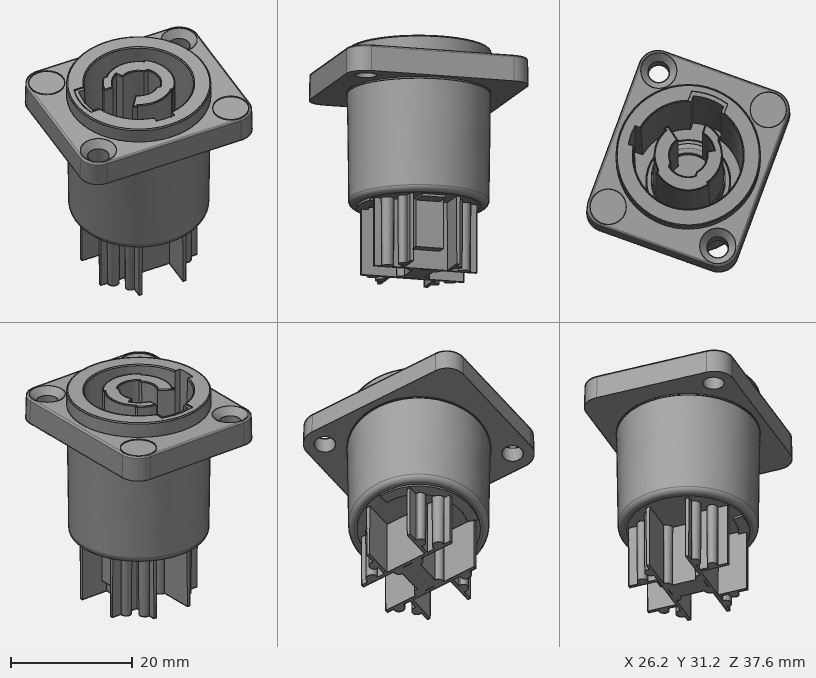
import cadquery as cq
import math

TOTAL_HEIGHT = 37.6
FLANGE_TOP = 34.95
FLANGE_BOTTOM = 30.55
BARREL_BOTTOM = 11.43

FLANGE_X = 26.17
FLANGE_Y = 31.2
FLANGE_CORNER = 3.27
FLANGE_DRAFT = 1.0
FLANGE_EDGE_FILLET = 0.3
SCREW_X = 9.6
SCREW_Y = 12.15
SCREW_RADIUS = 1.75
SINK_RADIUS = 2.97
BLIND_DEPTH = 0.15

COLLAR_RADIUS = 11.9
COLLAR_CHAMFER = 0.2
NECK_HEIGHT = 0.25
BARREL_TOP_RADIUS = 11.8
BARREL_END_RADIUS = 11.55
BARREL_FILLET = 0.98

SOCKET_FLOOR = 15.05
SOCKET_RIM_RADIUS = 9.02
SOCKET_FLOOR_RADIUS = 8.75
SOCKET_CHAMFER = 0.2
KEYWAY_RADIUS = 10.05
FRONT_KEYWAY_FLOOR_RADIUS = 9.85
SIDE_KEYWAY_WIDTH = 3.3
FRONT_KEYWAY_WIDTH = 5.25
KEYWAY_LEDGE_RADIUS = 10.75
KEYWAY_LEDGE_WIDTH = 6.3
KEYWAY_LEDGE_DEPTH = 0.23

BASE_RADIUS = 10.15
BASE_THICKNESS = 2.18
BOSS_RADIUS = 7.0
BOSS_RISE = 0.38
BOSS_CHAMFER = 0.2

POST_FOOT_RADIUS = 6.1
POST_TIP_RADIUS = 5.98
POST_CHAMFER = 0.15
CAVITY_MOUTH_RADIUS = 3.1
CAVITY_FLOOR_RADIUS = 2.95
CAVITY_FLOOR = 15.8
UPPER_LOBE_RADIUS = 3.6
UPPER_LOBE_WIDTH = 4.5
LOWER_LOBE_RADIUS = 4.35
LOWER_LOBE_ANGLES = (211.5, 324.0)
WINDOW_LEFT_X = -0.9
WINDOW_FLOOR = 17.3
WINDOW_ROUND = 0.95
RELIEF_TIP_RADIUS = 5.6
RELIEF_FOOT_RADIUS = 5.83
RELIEF_FLOOR = 18.8
RELIEF_ANGLES = ((145.0, 240.0), (-28.0, 48.0))
RELIEF_INNER_X = 3.87

LUG_HEIGHT = 0.4
RING_LUG_INNER_RADIUS = 8.27
RING_LUG_ANGLES = (-5.0, 110.0)
SIDE_LUG_X = (-9.1, -5.65)
SIDE_LUG_Y = (-1.73, 2.35)

WALL_REACH = 8.85
WALL_ROOT_THICKNESS = 0.68
WALL_TIP_THICKNESS = 0.53
LONG_WALL_X = 3.5
SHORT_WALL_Y = 4.02
CORE_HALF_Y = 1.8
PILLAR_DRAFT = 0.5
SHORT_PILLAR_X = 6.25
SHORT_PILLAR_RADIUS = 0.95
SHORT_PILLAR_STRAIGHT = 0.6
OUTER_PILLAR_Y = 6.6
LONG_PILLAR_RADIUS = 1.1
LONG_PILLAR_STRAIGHT = 0.4
BLOCK_X = 5.85
BLOCK_WIDTH = 4.75
BLOCK_BOTTOM = 3.15
ROOT_DEPTH = 0.75

BASE_TOP = BARREL_BOTTOM + BASE_THICKNESS
WALL_ROOT = BARREL_BOTTOM + ROOT_DEPTH
BOSS_TOP = SOCKET_FLOOR + BOSS_RISE
WALL_INNER_X = LONG_WALL_X - WALL_ROOT_THICKNESS / 2
SIDES = (-1, 1)


def disc(radius, bottom, top):
    """Upright cylinder on the main axis."""
    return cq.Workplane("XY").workplane(offset=bottom).circle(radius).extrude(top - bottom)


def cone(bottom_radius, top_radius, bottom, top):
    """Upright cone frustum on the main axis."""
    lower = cq.Workplane("XY").workplane(offset=bottom).circle(bottom_radius)
    return lower.workplane(offset=top - bottom).circle(top_radius).loft()


def block(x_range, y_range, z_range):
    """Box between the given limits."""
    sizes = [high - low for low, high in (x_range, y_range, z_range)]
    corner = (x_range[0], y_range[0], z_range[0])
    return cq.Workplane("XY").box(*sizes, centered=False).translate(corner)


def sector(radius, angles, bottom, top):
    """Pie slice about the main axis, between two angles in degrees."""
    start, end = [math.radians(angle) for angle in angles]
    points = [(radius * math.cos(a), radius * math.sin(a)) for a in (start, (start + end) / 2, end)]
    outline = cq.Workplane("XY").workplane(offset=bottom).lineTo(*points[0])
    return outline.threePointArc(points[1], points[2]).close().extrude(top - bottom)


def make_flange():
    """Drafted rectangular plate with two countersunk screw holes and two blind marks."""
    flange = (
        cq.Workplane("XY")
        .workplane(offset=FLANGE_BOTTOM)
        .rect(FLANGE_X, FLANGE_Y)
        .extrude(FLANGE_TOP - FLANGE_BOTTOM, taper=FLANGE_DRAFT)
        .edges("not(#Z or |X or |Y)")
        .fillet(FLANGE_CORNER)
        .faces(">Z")
        .edges()
        .fillet(FLANGE_EDGE_FILLET)
    )
    top = cq.Workplane("XY").workplane(offset=FLANGE_TOP)
    sink_depth = SINK_RADIUS - SCREW_RADIUS
    for side in SIDES:
        screw_place = (side * SCREW_X, -side * SCREW_Y, 0)
        hole = disc(SCREW_RADIUS, FLANGE_BOTTOM, FLANGE_TOP)
        sink = cone(SCREW_RADIUS, SINK_RADIUS, FLANGE_TOP - sink_depth, FLANGE_TOP)
        flange = flange.cut(hole.union(sink).translate(screw_place))
        mark = top.center(side * SCREW_X, side * SCREW_Y).circle(SINK_RADIUS).extrude(-BLIND_DEPTH)
        flange = flange.cut(mark)
    return flange


def make_socket():
    """Space inside the housing above its floor, with its two keyways."""
    rim_start = TOTAL_HEIGHT - SOCKET_CHAMFER
    socket = cone(SOCKET_FLOOR_RADIUS, SOCKET_RIM_RADIUS, SOCKET_FLOOR, rim_start)
    rim = cone(SOCKET_RIM_RADIUS, SOCKET_RIM_RADIUS + SOCKET_CHAMFER, rim_start, TOTAL_HEIGHT)

    side_room = disc(KEYWAY_RADIUS, SOCKET_FLOOR, TOTAL_HEIGHT)
    front_room = cone(FRONT_KEYWAY_FLOOR_RADIUS, KEYWAY_RADIUS, SOCKET_FLOOR, TOTAL_HEIGHT)
    half_side = SIDE_KEYWAY_WIDTH / 2
    half_front = FRONT_KEYWAY_WIDTH / 2
    heights = (SOCKET_FLOOR, TOTAL_HEIGHT)
    side_keyway = side_room.intersect(block((0, KEYWAY_RADIUS), (-half_side, half_side), heights))
    front_keyway = front_room.intersect(block((-half_front, half_front), (-KEYWAY_RADIUS, 0), heights))

    ledge_heights = (TOTAL_HEIGHT - KEYWAY_LEDGE_DEPTH, TOTAL_HEIGHT)
    half_ledge = KEYWAY_LEDGE_WIDTH / 2
    ledge = disc(KEYWAY_LEDGE_RADIUS, *ledge_heights).intersect(
        block((-half_ledge, half_ledge), (-KEYWAY_LEDGE_RADIUS, 0), ledge_heights)
    )
    return socket.union(rim).union(side_keyway).union(front_keyway).union(ledge)


def make_housing():
    """Flanged barrel, hollow from above, with a stepped seat for the insert below."""
    neck_bottom = FLANGE_BOTTOM - NECK_HEIGHT
    barrel = cone(BARREL_END_RADIUS, BARREL_TOP_RADIUS, BARREL_BOTTOM, neck_bottom)
    barrel = barrel.faces("<Z").edges().fillet(BARREL_FILLET)
    collar = disc(COLLAR_RADIUS, neck_bottom, TOTAL_HEIGHT).faces(">Z").edges().chamfer(COLLAR_CHAMFER)
    seat = disc(BASE_RADIUS, BARREL_BOTTOM, BASE_TOP)
    seat = seat.union(disc(BOSS_RADIUS, BASE_TOP, SOCKET_FLOOR))
    return barrel.union(make_flange()).union(collar).cut(make_socket()).cut(seat)


def make_post():
    """Hollow round post, open to the front right, with a relief on each side."""
    post = cone(POST_FOOT_RADIUS, POST_TIP_RADIUS, BOSS_TOP, TOTAL_HEIGHT)

    middle = block(
        (-RELIEF_INNER_X, RELIEF_INNER_X), (-BOSS_RADIUS, BOSS_RADIUS), (RELIEF_FLOOR, TOTAL_HEIGHT)
    )
    for angles in RELIEF_ANGLES:
        relief = sector(BOSS_RADIUS, angles, RELIEF_FLOOR, TOTAL_HEIGHT)
        relief = relief.cut(middle)
        kept_core = cone(RELIEF_FOOT_RADIUS, RELIEF_TIP_RADIUS, RELIEF_FLOOR, TOTAL_HEIGHT)
        post = post.cut(relief.cut(kept_core))

    cavity = cone(CAVITY_FLOOR_RADIUS, CAVITY_MOUTH_RADIUS, CAVITY_FLOOR, TOTAL_HEIGHT)
    half_lobe = UPPER_LOBE_WIDTH / 2
    upper_lobe = disc(UPPER_LOBE_RADIUS, CAVITY_FLOOR, TOTAL_HEIGHT).intersect(
        block((-half_lobe, half_lobe), (0, UPPER_LOBE_RADIUS), (CAVITY_FLOOR, TOTAL_HEIGHT))
    )
    cavity = cavity.union(upper_lobe)
    cavity = cavity.union(sector(LOWER_LOBE_RADIUS, LOWER_LOBE_ANGLES, CAVITY_FLOOR, TOTAL_HEIGHT))

    window = sector(BOSS_RADIUS, LOWER_LOBE_ANGLES, WINDOW_FLOOR - WINDOW_ROUND, TOTAL_HEIGHT)
    window = window.intersect(
        block((WINDOW_LEFT_X, BOSS_RADIUS), (-BOSS_RADIUS, 0), (BOSS_TOP, TOTAL_HEIGHT))
    )
    sill = disc(POST_FOOT_RADIUS, BOSS_TOP, WINDOW_FLOOR).faces(">Z").edges().fillet(WINDOW_ROUND)
    post = post.cut(window.cut(sill)).cut(cavity)
    return post.faces(">Z").edges().chamfer(POST_CHAMFER)


def make_base():
    """Stepped disc that seats in the housing, with the locking lugs under it."""
    boss = disc(BOSS_RADIUS, BASE_TOP, BOSS_TOP).faces(">Z").edges().chamfer(BOSS_CHAMFER)
    base = disc(BASE_RADIUS, BARREL_BOTTOM, BASE_TOP).union(boss)
    lug_heights = (BARREL_BOTTOM - LUG_HEIGHT, BARREL_BOTTOM)
    ring_lug = sector(BASE_RADIUS, RING_LUG_ANGLES, *lug_heights)
    ring_lug = ring_lug.cut(disc(RING_LUG_INNER_RADIUS, *lug_heights))
    side_lug = block(SIDE_LUG_X, SIDE_LUG_Y, lug_heights)
    return base.union(ring_lug).union(side_lug)


def drafted_wall(length):
    """Wall along X, rooted in the base, centred on the origin and thinner at its tip."""
    half_root = WALL_ROOT_THICKNESS / 2
    half_tip = WALL_TIP_THICKNESS / 2
    outline = [
        (-half_root, WALL_ROOT),
        (half_root, WALL_ROOT),
        (half_tip, 0),
        (-half_tip, 0),
    ]
    return cq.Workplane("YZ").polyline(outline).close().extrude(length / 2, both=True)


def pillar(radius, straight):
    """Drafted pillar bulging along +Y from the origin: a half round at the end of a straight part."""
    outline = (
        cq.Workplane("XY")
        .workplane(offset=WALL_ROOT)
        .moveTo(-radius, 0)
        .lineTo(-radius, straight)
        .threePointArc((0, straight + radius), (radius, straight))
        .lineTo(radius, 0)
        .close()
    )
    return outline.extrude(-WALL_ROOT, taper=PILLAR_DRAFT)


def make_pillars(x_side, y_side):
    """Pillars of one corner: one on the short wall and one on each face of the long wall."""
    x_turn = 90 * x_side
    short_wall_pillar = pillar(SHORT_PILLAR_RADIUS, SHORT_PILLAR_STRAIGHT)
    short_wall_pillar = short_wall_pillar.rotate((0, 0, 0), (0, 0, 1), 90 - 90 * y_side)
    short_wall_pillar = short_wall_pillar.translate((x_side * SHORT_PILLAR_X, y_side * SHORT_WALL_Y, 0))
    long_wall_pillar = pillar(LONG_PILLAR_RADIUS, LONG_PILLAR_STRAIGHT)
    outer = long_wall_pillar.rotate((0, 0, 0), (0, 0, 1), -x_turn)
    outer = outer.translate((x_side * LONG_WALL_X, y_side * OUTER_PILLAR_Y, 0))
    inner = long_wall_pillar.rotate((0, 0, 0), (0, 0, 1), x_turn)
    inner = inner.translate((x_side * LONG_WALL_X, y_side * CORE_HALF_Y, 0))
    return short_wall_pillar.union(outer).union(inner)


def make_terminal_walls():
    """Two long walls joined by a core, four short side walls, their pillars and a block."""
    short_length = WALL_REACH - LONG_WALL_X
    short_centre = (WALL_REACH + LONG_WALL_X) / 2
    walls = block((-WALL_INNER_X, WALL_INNER_X), (-CORE_HALF_Y, CORE_HALF_Y), (0, WALL_ROOT))
    for x_side in SIDES:
        long_wall = drafted_wall(2 * WALL_REACH).rotate((0, 0, 0), (0, 0, 1), 90)
        walls = walls.union(long_wall.translate((x_side * LONG_WALL_X, 0, 0)))
        for y_side in SIDES:
            place = (x_side * short_centre, y_side * SHORT_WALL_Y, 0)
            walls = walls.union(drafted_wall(short_length).translate(place))
            walls = walls.union(make_pillars(x_side, y_side))
    half_block = BLOCK_WIDTH / 2
    end_block = block((-BLOCK_X, -LONG_WALL_X), (-half_block, half_block), (BLOCK_BOTTOM, WALL_ROOT))
    return walls.union(end_block)


def make_insert():
    """Contact carrier: base, post above it and terminal walls below it."""
    return make_base().union(make_post()).union(make_terminal_walls())


housing = make_housing()
insert = make_insert()
result = cq.Compound.makeCompound([housing.val(), insert.val()])